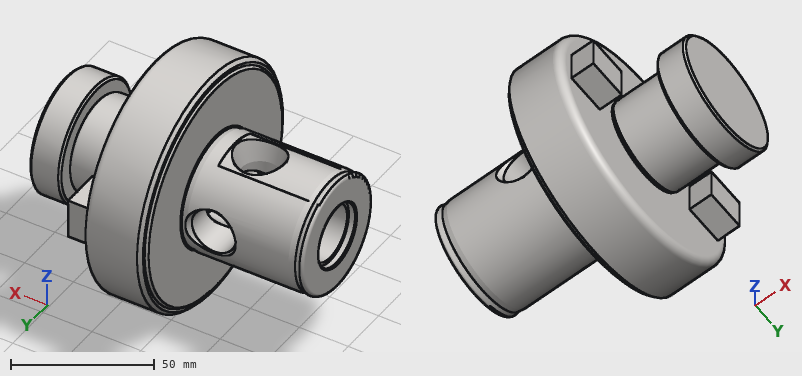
import cadquery as cq
import math


shank_length = 50.0
shank_radius = 23.0
tip_fillet = 1.4
guide_groove_depth = 0.4
guide_groove_bottom_x = -46.6
guide_groove_end_x = -44.2
relief_start_x = -2.7
relief_floor_start_x = -0.6
relief_floor_end_x = -0.25
relief_depth = 0.45
relief_end_radius = shank_radius + 0.1

recess_width = 21.0
recess_depth = 0.08
recess_end_x = -7.7

flange_radius = 95.25 / 2
flange_thickness = 25.0
seat_step = 1.0
seat_radius = 45.0
seat_chamfer = 1.0
rim_chamfer = 1.5
rim_fillet = 3.2

nose_length = 23.6
nose_radius = 19.0
nose_root_length = 1.1
nose_root_floor = 0.15
nose_root_depth = 0.35
nose_fillet = 2.1

mouth_radius = 12.25
mouth_depth = 3.0
mouth_chamfer = 0.5
bore_radius = 11.0
bore_depth = 52.0
bore_floor_radius = 8.7
bore_end_half_angle = math.radians(59)

screw_hole_x = -18.3
screw_hole_radius = 7.5
screw_mouth_radius = 10.0
screw_half_angle = math.radians(15)

cross_hole_x = -12.15
cross_hole_radius = 9.0
cross_mouth_radius = 10.4
cross_half_angle = math.radians(30)

cutter_overrun = 1.0

key_side = 16.0
key_height = 9.6
key_centre_y = 33.35

knob_length = 111.3 - shank_length - flange_thickness - nose_length
knob_radius = 24.0
knob_chamfer = 0.85


def body_blank():
    """Shank, flange and nose turned as one piece."""
    flange_end_x = flange_thickness
    nose_end_x = flange_thickness + nose_length
    fillet_mid = math.sqrt(0.5)
    tip_centre_x = -shank_length + tip_fillet
    tip_centre_r = shank_radius - tip_fillet
    rim_centre_x = flange_end_x - rim_fillet
    rim_centre_r = flange_radius - rim_fillet
    nose_centre_x = nose_end_x - nose_fillet
    nose_centre_r = nose_radius - nose_fillet
    profile = (
        cq.Workplane("XZ")
        .moveTo(-shank_length, 0)
        .lineTo(-shank_length, tip_centre_r)
        .threePointArc(
            (tip_centre_x - tip_fillet * fillet_mid, tip_centre_r + tip_fillet * fillet_mid),
            (tip_centre_x, shank_radius),
        )
        .lineTo(guide_groove_bottom_x, shank_radius - guide_groove_depth)
        .lineTo(guide_groove_end_x, shank_radius)
        .lineTo(relief_start_x, shank_radius)
        .lineTo(relief_floor_start_x, shank_radius - relief_depth)
        .lineTo(relief_floor_end_x, shank_radius - relief_depth)
        .lineTo(0, relief_end_radius)
        .lineTo(0, seat_radius - seat_chamfer)
        .lineTo(seat_step, seat_radius)
        .lineTo(seat_step, flange_radius - rim_chamfer)
        .lineTo(seat_step + rim_chamfer, flange_radius)
        .lineTo(rim_centre_x, flange_radius)
        .threePointArc(
            (rim_centre_x + rim_fillet * fillet_mid, rim_centre_r + rim_fillet * fillet_mid),
            (flange_end_x, rim_centre_r),
        )
        .lineTo(flange_end_x, nose_radius - nose_root_depth)
        .lineTo(flange_end_x + nose_root_floor, nose_radius - nose_root_depth)
        .lineTo(flange_end_x + nose_root_length, nose_radius)
        .lineTo(nose_centre_x, nose_radius)
        .threePointArc(
            (nose_centre_x + nose_fillet * fillet_mid, nose_centre_r + nose_fillet * fillet_mid),
            (nose_end_x, nose_centre_r),
        )
        .lineTo(nose_end_x, 0)
        .close()
    )
    return profile.revolve(360, (0, 0, 0), (1, 0, 0))


def bore():
    """Stepped blind bore with a chamfered mouth and a drill-point cone down to a flat floor."""
    tip_x = -shank_length
    cone_x = tip_x + bore_depth
    floor_x = cone_x + (bore_radius - bore_floor_radius) / math.tan(bore_end_half_angle)
    return (
        cq.Workplane("XZ")
        .moveTo(tip_x, 0)
        .lineTo(tip_x, mouth_radius + mouth_chamfer)
        .lineTo(tip_x + mouth_chamfer, mouth_radius)
        .lineTo(tip_x + mouth_depth, mouth_radius)
        .lineTo(tip_x + mouth_depth, bore_radius)
        .lineTo(cone_x, bore_radius)
        .lineTo(floor_x, bore_floor_radius)
        .lineTo(floor_x, 0)
        .close()
        .revolve(360, (0, 0, 0), (1, 0, 0))
    )


def tapered_hole(x, hole_radius, cone_radius, half_angle):
    """Hole from the bore axis up through the top of the shank, coned to cone_radius at the surface."""
    cone_depth = (cone_radius - hole_radius) / math.tan(half_angle)
    top_z = shank_radius + cutter_overrun
    top_radius = cone_radius + (top_z - shank_radius) * math.tan(half_angle)
    return (
        cq.Workplane("XZ")
        .lineTo(hole_radius, 0)
        .lineTo(hole_radius, shank_radius - cone_depth)
        .lineTo(top_radius, top_z)
        .lineTo(0, top_z)
        .close()
        .revolve(360, (0, 0, 0), (0, 1, 0))
        .translate((x, 0, 0))
    )


def top_recess():
    """Shell concentric with the shank, cut to a strip along its top."""
    recess_length = shank_length + recess_end_x
    strip = cq.Workplane("XY").box(
        recess_length, recess_width, 2 * shank_radius, centered=(False, True, False)
    )
    core = cq.Workplane("YZ").circle(shank_radius - recess_depth).extrude(recess_length)
    return strip.cut(core).translate((-shank_length, 0, 0))


def make_body():
    body = body_blank().cut(bore())
    body = body.cut(tapered_hole(screw_hole_x, screw_hole_radius, screw_mouth_radius, screw_half_angle))
    for turn in (90, -90):
        cross_hole = tapered_hole(cross_hole_x, cross_hole_radius, cross_mouth_radius, cross_half_angle)
        body = body.cut(cross_hole.rotate((0, 0, 0), (1, 0, 0), turn))
    return body.cut(top_recess())


def make_key(side):
    """Square drive key seated on the +X face of the flange."""
    return (
        cq.Workplane("XY")
        .box(key_height, key_side, key_side, centered=(False, True, True))
        .translate((flange_thickness, side * key_centre_y, 0))
    )


def make_knob():
    """Chamfered disc against the end of the nose."""
    return (
        cq.Workplane("YZ")
        .workplane(offset=flange_thickness + nose_length)
        .circle(knob_radius)
        .extrude(knob_length)
        .edges()
        .chamfer(knob_chamfer)
    )


body = make_body()
keys = [make_key(side) for side in (1, -1)]
knob = make_knob()

result = cq.Compound.makeCompound([body.val(), *[key.val() for key in keys], knob.val()])